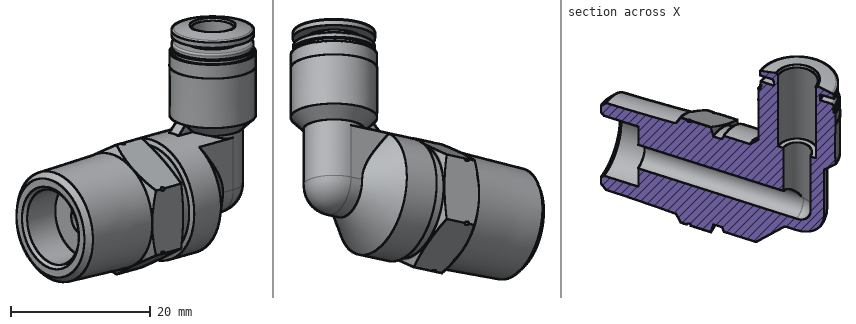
import cadquery as cq
import math


TOP_Z = 23.82
FLANGE_EDGE_Z = 23.33
FLANGE_ROUND_Z = 23.1
FLANGE_BOTTOM_Z = 22.3
NECK_TOP_Z = 21.97
COLLAR_TOP_Z = 21.33
COLLAR_GROOVE_Z = 20.42
CAP_TOP_Z = 19.8
BODY_TOP_Z = 17.75
BODY_BOTTOM_Z = 10.25
STEM_TOP_Z = 8.5

FLANGE_R = 11.9 / 2
FLANGE_ROUND = 0.35
NECK_R = 7.5 / 2
NECK_ROOT_R = 3.93
COLLAR_R = 11.8 / 2
COLLAR_ROUND = 0.3
GROOVE_DEPTH = 0.15
GROOVE_HALF_WIDTH = 0.1
CAP_R = 6.23
BODY_R = 12.5 / 2
BODY_FOOT_R = 6.23
STEM_R = 4.38

ELBOW_R = 18.0 / 2
SHOULDER_Y = -6.55
ELBOW_END_Y = -12.05
ELBOW_CHAMFER = 0.3
SWIVEL_R = 16.5 / 2

GUSSET_WIDTH = 2.0

HEX_FLATS = 17.0
HEX_BACK_Y = -13.45
HEX_FRONT_Y = -19.45
HEX_BACK_CHAMFER = 0.38
HEX_FRONT_CHAMFER = 0.75
DIMPLE_R = 0.3
DIMPLE_Y = -17.35

THREAD_ROOT_R = 8.5
THREAD_TIP_R = 8.15
THREAD_END_Y = BODY_R - 37.75
THREAD_CHAMFER = 0.85

BORE_R = 4.3 / 2
TUBE_BORE_R = 6.0 / 2
TUBE_BORE_CHAMFER = 0.3
TUBE_BORE_FLOOR_Z = 10.25
THREAD_BORE_R = 11.1 / 2
THREAD_BORE_CHAMFER = 0.53
THREAD_BORE_FLOOR_Y = -25.52


def turned_z(points):
    """Revolve (radius, z) points about Z."""
    return cq.Workplane("XZ").polyline(points).close().revolve(360, (0, 0), (0, 1))


def turned_y(points):
    """Revolve (radius, y) points about Y."""
    return cq.Workplane("XY").polyline(points).close().revolve(360, (0, 0), (0, 1))


def make_socket():
    outline = (
        cq.Workplane("XZ")
        .moveTo(0, 0)
        .lineTo(STEM_R, 0)
        .lineTo(STEM_R, STEM_TOP_Z)
        .lineTo(BODY_FOOT_R, BODY_BOTTOM_Z)
        .lineTo(BODY_R, BODY_TOP_Z)
        .lineTo(CAP_R, BODY_TOP_Z)
        .lineTo(CAP_R, CAP_TOP_Z)
        .lineTo(COLLAR_R, CAP_TOP_Z)
        .lineTo(COLLAR_R, COLLAR_GROOVE_Z - GROOVE_HALF_WIDTH)
        .lineTo(COLLAR_R - GROOVE_DEPTH, COLLAR_GROOVE_Z)
        .lineTo(COLLAR_R, COLLAR_GROOVE_Z + GROOVE_HALF_WIDTH)
        .lineTo(COLLAR_R, COLLAR_TOP_Z - COLLAR_ROUND)
        .radiusArc((COLLAR_R - COLLAR_ROUND, COLLAR_TOP_Z), -COLLAR_ROUND)
        .lineTo(NECK_R, COLLAR_TOP_Z)
        .lineTo(NECK_R, NECK_TOP_Z)
        .lineTo(NECK_ROOT_R, FLANGE_BOTTOM_Z)
        .lineTo(FLANGE_R, FLANGE_BOTTOM_Z)
        .lineTo(FLANGE_R, FLANGE_ROUND_Z)
        .radiusArc((FLANGE_R - FLANGE_ROUND, FLANGE_EDGE_Z), -FLANGE_ROUND)
        .lineTo(TUBE_BORE_R + TUBE_BORE_CHAMFER, TOP_Z)
        .lineTo(0, TOP_Z)
        .close()
    )
    return outline.revolve(360, (0, 0), (0, 1))


def make_elbow():
    cone_top_y = SHOULDER_Y + ELBOW_R - STEM_R
    body = turned_y([
        (0, 0),
        (STEM_R, 0),
        (STEM_R, cone_top_y),
        (ELBOW_R, SHOULDER_Y),
        (ELBOW_R, ELBOW_END_Y + ELBOW_CHAMFER),
        (SWIVEL_R, ELBOW_END_Y),
        (SWIVEL_R, HEX_BACK_Y),
        (0, HEX_BACK_Y),
    ])
    web_length = -SHOULDER_Y
    web = (
        cq.Workplane("XZ")
        .circle(ELBOW_R)
        .extrude(web_length)
        .intersect(
            cq.Workplane("XY").box(2 * STEM_R, web_length, ELBOW_R, centered=(True, False, False))
            .translate((0, SHOULDER_Y, 0))
        )
    )
    corner = cq.Workplane("XY").sphere(STEM_R)
    return body.union(web).union(corner)


def make_gusset():
    foot_z = STEM_TOP_Z
    foot_y = -BODY_FOOT_R - (BODY_BOTTOM_Z - foot_z)
    return (
        cq.Workplane("YZ")
        .polyline([
            (0, foot_z),
            (foot_y, foot_z),
            (-BODY_FOOT_R, BODY_BOTTOM_Z),
            (0, BODY_BOTTOM_Z),
        ])
        .close()
        .extrude(GUSSET_WIDTH / 2, both=True)
    )


def make_hexagon():
    flat_r = HEX_FLATS / 2
    corner_r = flat_r / math.cos(math.pi / 6)
    prism = (
        cq.Workplane("XZ", origin=(0, HEX_BACK_Y, 0))
        .polygon(6, 2 * corner_r)
        .extrude(HEX_BACK_Y - HEX_FRONT_Y)
        .rotate((0, 0, 0), (0, 1, 0), 30)
    )
    chamfer_envelope = turned_y([
        (0, HEX_BACK_Y),
        (flat_r, HEX_BACK_Y),
        (corner_r, HEX_BACK_Y - HEX_BACK_CHAMFER),
        (corner_r, HEX_FRONT_Y + HEX_FRONT_CHAMFER),
        (flat_r, HEX_FRONT_Y),
        (0, HEX_FRONT_Y),
    ])
    hexagon = prism.intersect(chamfer_envelope)
    for corner in range(6):
        angle = math.radians(30 + 60 * corner)
        center = (corner_r * math.cos(angle), DIMPLE_Y, corner_r * math.sin(angle))
        hexagon = hexagon.cut(cq.Workplane("XY").sphere(DIMPLE_R).translate(center))
    return hexagon


def make_thread():
    return turned_y([
        (0, HEX_FRONT_Y),
        (THREAD_ROOT_R, HEX_FRONT_Y),
        (THREAD_TIP_R, THREAD_END_Y + THREAD_CHAMFER),
        (THREAD_TIP_R - THREAD_CHAMFER, THREAD_END_Y),
        (0, THREAD_END_Y),
    ])


def make_bores():
    tube_bore = turned_z([
        (0, 0),
        (BORE_R, 0),
        (BORE_R, TUBE_BORE_FLOOR_Z),
        (TUBE_BORE_R, TUBE_BORE_FLOOR_Z),
        (TUBE_BORE_R, TOP_Z - TUBE_BORE_CHAMFER),
        (TUBE_BORE_R + TUBE_BORE_CHAMFER, TOP_Z),
        (0, TOP_Z),
    ])
    thread_bore = turned_y([
        (0, 0),
        (BORE_R, 0),
        (BORE_R, THREAD_BORE_FLOOR_Y),
        (THREAD_BORE_R, THREAD_BORE_FLOOR_Y),
        (THREAD_BORE_R, THREAD_END_Y + THREAD_BORE_CHAMFER),
        (THREAD_BORE_R + THREAD_BORE_CHAMFER, THREAD_END_Y),
        (0, THREAD_END_Y),
    ])
    corner = cq.Workplane("XY").sphere(BORE_R)
    return tube_bore.union(thread_bore).union(corner)


result = (
    make_socket()
    .union(make_elbow())
    .union(make_gusset())
    .union(make_hexagon())
    .union(make_thread())
    .cut(make_bores())
)